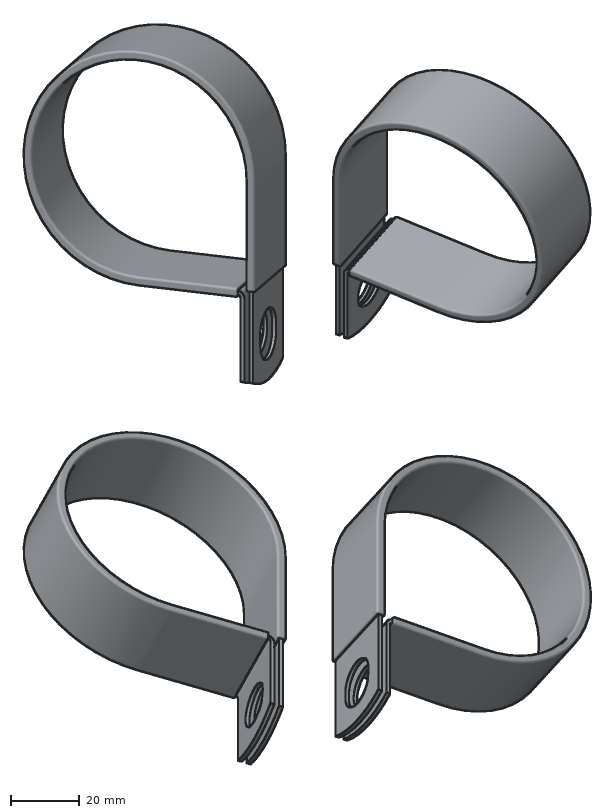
import cadquery as cq
import math


inner_radius = 33.3375
cushion_thickness = 0.79375
strap_thickness = 1.22
strap_width = 25.4
tab_gap = 1.55
bend_inner_radius = 1.1
bottom_z = -65.075
tab_end_rise = 2.9
hole_diameter = 13.5
slot_length = 15.6
hole_z = -50.9
cushion_upright_end_z = -34.0
cushion_floor_end_x = 30.55
side_rounding = 0.76
end_rounding = 0.5

strap_inner = inner_radius + cushion_thickness
strap_outer = strap_inner + strap_thickness
strap_middle = (strap_inner + strap_outer) / 2
outer_radius = strap_outer + cushion_thickness
cushion_width = strap_width + 2 * cushion_thickness
near_tab_outer_x = strap_inner - tab_gap
gap_middle_x = (near_tab_outer_x + strap_inner) / 2
near_tab_inner_x = near_tab_outer_x - strap_thickness
bend_outer_radius = bend_inner_radius + strap_thickness
bend_start_x = near_tab_outer_x - bend_outer_radius
bend_end_z = -strap_inner - bend_outer_radius
half_width = strap_width / 2
tab_side_z = bottom_z + tab_end_rise


def loop_arc(sketch, radius, end):
    """Three-quarter arc around the loop centre, passing its upper left."""
    middle = (-radius * math.sqrt(0.5), radius * math.sqrt(0.5))
    return sketch.threePointArc(middle, end)


def bend_middle(radius):
    """Middle point of the quarter bend between the floor and the near tab."""
    reach = radius * math.sqrt(0.5)
    return (bend_start_x + reach, bend_end_z + reach)


def make_cushion():
    """Loop with two straight legs, rounded along its sides and around its ends."""
    outline = (
        cq.Workplane("XZ")
        .moveTo(outer_radius, cushion_upright_end_z)
        .lineTo(outer_radius, 0)
    )
    outline = loop_arc(outline, outer_radius, (0, -outer_radius))
    outline = (
        outline.lineTo(cushion_floor_end_x, -outer_radius)
        .lineTo(cushion_floor_end_x, -inner_radius)
        .lineTo(0, -inner_radius)
    )
    outline = loop_arc(outline, inner_radius, (inner_radius, 0))
    body = (
        outline.lineTo(inner_radius, cushion_upright_end_z)
        .close()
        .extrude(cushion_width / 2, both=True)
    )
    floor_end = cq.selectors.NearestToPointSelector((cushion_floor_end_x, 0, -strap_middle))
    upright_end = cq.selectors.NearestToPointSelector((strap_middle, 0, cushion_upright_end_z))
    end_faces = floor_end + upright_end
    end_edges = body.faces(end_faces).edges().vals()
    side_edges = [
        edge
        for edge in body.faces("|Y").edges().vals()
        if not any(edge.isSame(end_edge) for end_edge in end_edges)
    ]
    body = body.newObject(side_edges).fillet(side_rounding)
    return body.faces(end_faces).edges().fillet(end_rounding)


def make_bent_strap():
    """Constant-thickness strap: far tab, loop, floor, bend and near tab."""
    outline = (
        cq.Workplane("XZ")
        .moveTo(strap_outer, bottom_z)
        .lineTo(strap_outer, 0)
    )
    outline = loop_arc(outline, strap_outer, (0, -strap_outer))
    outline = (
        outline.lineTo(bend_start_x, -strap_outer)
        .threePointArc(bend_middle(bend_inner_radius), (near_tab_inner_x, bend_end_z))
        .lineTo(near_tab_inner_x, bottom_z)
        .lineTo(near_tab_outer_x, bottom_z)
        .lineTo(near_tab_outer_x, bend_end_z)
        .threePointArc(bend_middle(bend_outer_radius), (bend_start_x, -strap_inner))
        .lineTo(0, -strap_inner)
    )
    outline = loop_arc(outline, strap_inner, (strap_inner, 0))
    return (
        outline.lineTo(strap_inner, bottom_z)
        .close()
        .extrude(half_width, both=True)
    )


def make_tab_envelope():
    """Block with a rounded lower end that trims both tabs."""
    return (
        cq.Workplane("YZ")
        .moveTo(-half_width, tab_side_z)
        .threePointArc((0, bottom_z), (half_width, tab_side_z))
        .lineTo(half_width, outer_radius)
        .lineTo(-half_width, outer_radius)
        .close()
        .extrude(outer_radius, both=True)
    )


def make_round_hole():
    """Cylinder along X that crosses only the near tab."""
    return (
        cq.Workplane("YZ", origin=(0, 0, hole_z))
        .circle(hole_diameter / 2)
        .extrude(gap_middle_x)
    )


def make_slotted_hole():
    """Upright slot along X that crosses only the far tab."""
    return (
        cq.Workplane("YZ", origin=(gap_middle_x, 0, hole_z))
        .slot2D(slot_length, hole_diameter, 90)
        .extrude(outer_radius - gap_middle_x)
    )


strap = make_bent_strap().intersect(make_tab_envelope())
strap = strap.cut(make_round_hole()).cut(make_slotted_hole())
result = make_cushion().union(strap)